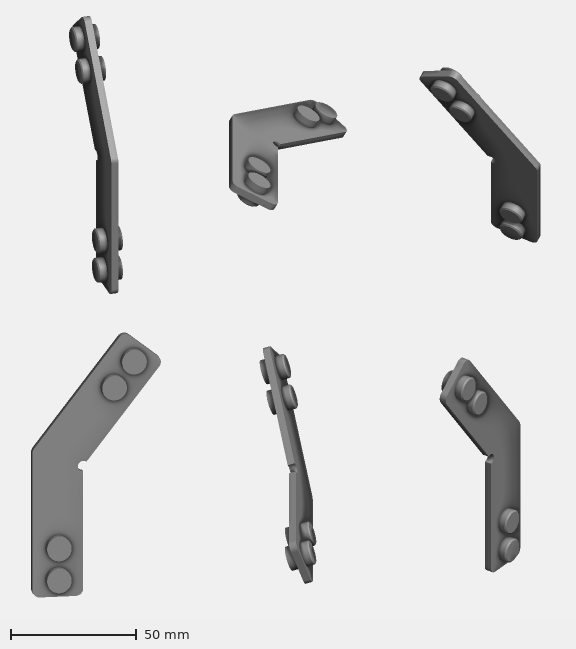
import cadquery as cq
import math

total_width = 51.8
leg_width = 20.4
leg_length = 52.9
bend_angle = 38.0
plate_thickness = 3.0
corner_radius = 3.0
relief_radius = 2.1

pin_diameter = 10.0
pin_length = 10.0
pin_chamfer = 0.5
pin_pitch = 13.0
pin_end_distance = 7.2

inner_x = total_width / 2 - leg_width
inner_z = leg_length
bend = math.radians(bend_angle)
outer_bend_rise = leg_width * math.tan(bend / 2)


def upper_point(along, across):
    """Point (x, z) on the upper leg, measured from the inner bend corner."""
    x = inner_x - along * math.sin(bend) + across * math.cos(bend)
    z = inner_z + along * math.cos(bend) + across * math.sin(bend)
    return x, z


def lower_point(along, across):
    """Point (x, z) on the lower leg, measured from the inner bend corner."""
    return inner_x + across, inner_z - along


def pin_centers():
    """Axes of the two pins on the centreline at the end of each leg."""
    first = leg_length - pin_end_distance
    return [
        leg_point(along, leg_width / 2)
        for leg_point in (upper_point, lower_point)
        for along in (first, first - pin_pitch)
    ]


def extrude_centered(sketch, length):
    """Extrude a sketch on the XZ plane equally to both sides along Y."""
    return sketch.extrude(length / 2, both=True)


def make_plate():
    outline = [
        lower_point(0, 0),
        lower_point(leg_length, 0),
        lower_point(leg_length, leg_width),
        lower_point(-outer_bend_rise, leg_width),
        upper_point(leg_length, leg_width),
        upper_point(leg_length, 0),
    ]
    plate = extrude_centered(cq.Workplane("XZ").polyline(outline).close(), plate_thickness)

    inner_bend = cq.selectors.BoxSelector(
        (inner_x - relief_radius, -plate_thickness, inner_z - relief_radius),
        (inner_x + relief_radius, plate_thickness, inner_z + relief_radius),
    )
    plate = plate.edges(cq.selectors.ParallelDirSelector(cq.Vector(0, 1, 0)) - inner_bend).fillet(corner_radius)
    relief = extrude_centered(
        cq.Workplane("XZ").center(inner_x, inner_z).circle(relief_radius), plate_thickness
    )
    pin_holes = extrude_centered(
        cq.Workplane("XZ").pushPoints(pin_centers()).circle(pin_diameter / 2), plate_thickness
    )
    return plate.cut(relief).cut(pin_holes).solids()


def make_pin(x, z):
    """Round pin through the plate, chamfered on its front (-Y) end."""
    pin = extrude_centered(cq.Workplane("XZ").center(x, z).circle(pin_diameter / 2), pin_length)
    return pin.faces("<Y").edges().chamfer(pin_chamfer)


plate = make_plate()
pins = [make_pin(x, z) for x, z in pin_centers()]

result = cq.Compound.makeCompound([plate.val(), *[pin.val() for pin in pins]])